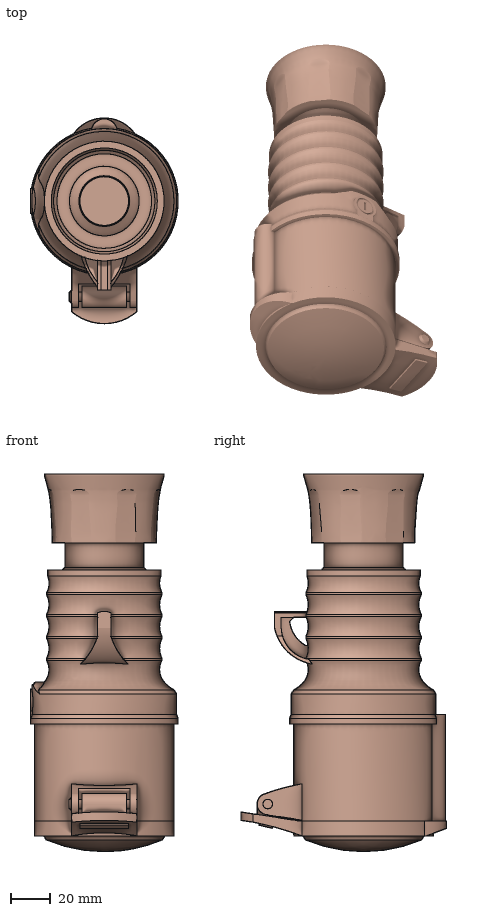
import cadquery as cq
import math

TOTAL_HEIGHT = 190.85
LID_SEAM_Z = 15.4
LID_BOTTOM_Z = 7.9
DOME_RIM_Z = 6.0
FLANGE_BOTTOM_Z = 64.5
FLANGE_EDGE_Z = 67.4
FLANGE_TOP_Z = 69.4
SHOULDER_Z = 79.8
SHOULDER_TOP_Z = 81.8
SLOPE_Z = 83.9
BELLOWS_BOTTOM_Z = 86.5
BELLOWS_TOP_Z = 142.4
NUT_BOTTOM_Z = 156.1

BARREL_R = 35.3
FLANGE_R = 37.375
COLLAR_R = 36.6
SHOULDER_R = 35.2
SLOPE_R = 32.1
BELLOWS_FOOT_R = 29.7
RIDGE_R = 29.2
BELLOWS_RIM_R = 28.7
BELLOWS_WAIST_R = 28.0
NECK_R = 20.0
DOME_RIM_R = 29.4
DOME_STEP_R = 30.6

RIDGE_COUNT = 4
FIRST_RIDGE_Z = 97.2
RIDGE_PITCH = 11.05
RIDGE_FLAT = 1.0
RIM_BAND = 3.0
NECK_FILLET = 1.3

NUT_BOTTOM_R = 26.3
NUT_TOP_R = 30.25
NUT_EDGE = 1.0
NUT_FLARE = [
    (NUT_BOTTOM_R, NUT_BOTTOM_Z),
    (26.7, 168.2),
    (27.8, 180.0),
    (NUT_TOP_R, TOTAL_HEIGHT - NUT_EDGE),
]
NUT_RECESS_DEPTH = 6.0
NUT_MOUTH_R = 26.8
NUT_WALL_FOOT_R = 25.6
NUT_WALL_DEPTH = 4.4
NUT_FLOOR_R = 23.9
CONE_BASE_R = 17.6
CONE_TOP_R = 13.3
PLUG_R = 12.3
PLUG_EDGE = 1.0
CONE_HEIGHT = 4.5

FLUTE_COUNT = 7
FLUTE_START_ANGLE = 191.8
FLUTE_CUT_WIDTH = 16.0
FLUTE_DEPTH = 0.52
FLUTE_TOP = (28.75, 183.6)

LOOP_REACH = 45.0
LOOP_TOP_Z = 121.3
LOOP_BAR = 2.9
LOOP_BEND_Z = 113.0
LOOP_ARC_MID = (-40.9, 103.9)
LOOP_FOOT_Z = 94.8
LOOP_ROOT_Y = -26.0
LOOP_FRONT_BAR = 3.4
LOOP_BAND_ARC_MID = (-39.2, 105.0)
LOOP_BAND_FOOT = 2.2
LOOP_WIDTH = 6.6
LOOP_WEB_WIDTH = 4.0
LOOP_FOOT_WIDTH = 24.0
LOOP_FLARE_Z = 109.0
LOOP_FLARE_MID = (6.4, 102.0)
LOOP_CHAMFER = (1.6, 0.6)
WINDOW_REACH = 37.3
WINDOW_CORNER = 2.0
WINDOW_ARC_MID = (-34.3, 108.7)
WINDOW_FOOT = (-29.3, 104.2)

LOCK_Z = 75.7
LOCK_R = 6.4
LOCK_REACH = 37.3
LOCK_FACE_R = 5.2
LOCK_GROOVE_WIDTH = 0.9
LOCK_GROOVE_DEPTH = 1.0
LOCK_SLOT = (1.4, 5.6)
HUMP_TOP_Z = 85.8
HUMP_HALF_WIDTH = 16.5
HUMP_BEND_HALF_WIDTH = 9.25
HUMP_CHAMFER = 1.8
LOCK_FOOT_WIDTH = 9.0

RIB_REACH = 41.5
RIB_R = 6.6
TAB_REACH = 42.0
TAB_R = 18.9
TAB_EDGE_Z = 11.8
TAB_ROOT_Y = 31.5

HINGE_WIDTH = 33.0
HINGE_Y = -48.4
HINGE_Z = 24.1
EAR_R = 5.4
EAR_TOP_Z = 34.3
EAR_ROOT_Y = -31.0
EAR_CREST_MID = (-41.5, 32.0)
EAR_CREST_END_ANGLE = 25.0
POCKET_WIDTH = 26.0
POCKET_BACK_Y = -42.0
KNUCKLE_WIDTH = 22.6
KNUCKLE_R = 5.4
FLAP_GAP = 0.5
PIN_R = 2.4
PIN_HEAD_R = 3.2
PIN_HEAD = 1.2
PIN_HEAD_CHAMFER = 1.0

FLAP_REACH = 62.0
FLAP_STRAIGHT_REACH = 55.9
FLAP_TIP_TOP_Z = 20.1
FLAP_TIP_BOTTOM_Z = 15.8
FLAP_BEND_BOTTOM_Z = 14.9
GRIP_WIDTH = 24.6
GRIP_LENGTH = 7.0
GRIP_HEIGHT = 0.6
GRIP_CENTRE = (-49.4, 13.2)
FLAP_UNDERSIDE_MID = (-43.0, 11.9)


def nut_profile(outline):
    """Continue the housing outline up the neck, around the gland nut and into its recess."""
    floor_z = TOTAL_HEIGHT - NUT_RECESS_DEPTH
    return (
        outline
        .lineTo(NECK_R, NUT_BOTTOM_Z)
        .lineTo(*NUT_FLARE[0])
        .spline(NUT_FLARE[1:], includeCurrent=True)
        .lineTo(NUT_TOP_R, TOTAL_HEIGHT)
        .lineTo(NUT_MOUTH_R, TOTAL_HEIGHT)
        .lineTo(NUT_WALL_FOOT_R, TOTAL_HEIGHT - NUT_WALL_DEPTH)
        .lineTo(NUT_FLOOR_R, floor_z)
        .lineTo(CONE_BASE_R, floor_z)
        .lineTo(CONE_TOP_R, floor_z + CONE_HEIGHT)
        .lineTo(PLUG_R + PLUG_EDGE / 2, TOTAL_HEIGHT - PLUG_EDGE / 2)
        .lineTo(PLUG_R, TOTAL_HEIGHT)
        .lineTo(0, TOTAL_HEIGHT)
    )


def turned_housing():
    """Barrel, collar, bellows, neck and nut as one turned shape."""
    outline = (
        cq.Workplane("XZ")
        .moveTo(0, LID_SEAM_Z)
        .lineTo(BARREL_R, LID_SEAM_Z)
        .lineTo(BARREL_R, FLANGE_BOTTOM_Z)
        .lineTo(FLANGE_R, FLANGE_BOTTOM_Z)
        .lineTo(FLANGE_R, FLANGE_EDGE_Z)
        .lineTo(COLLAR_R, FLANGE_TOP_Z)
        .lineTo(COLLAR_R, SHOULDER_Z)
        .lineTo(SHOULDER_R, SHOULDER_TOP_Z)
        .threePointArc((SLOPE_R, SLOPE_Z), (BELLOWS_FOOT_R, BELLOWS_BOTTOM_Z))
    )
    below_z = BELLOWS_BOTTOM_Z
    for index in range(RIDGE_COUNT):
        ridge_z = FIRST_RIDGE_Z + index * RIDGE_PITCH
        ridge_start = ridge_z - RIDGE_FLAT / 2
        waist = (BELLOWS_WAIST_R, (below_z + ridge_start) / 2)
        outline = outline.threePointArc(waist, (RIDGE_R, ridge_start))
        below_z = ridge_z + RIDGE_FLAT / 2
        outline = outline.lineTo(RIDGE_R, below_z)
    band_z = BELLOWS_TOP_Z - RIM_BAND
    outline = (
        outline
        .threePointArc((BELLOWS_WAIST_R, (below_z + band_z) / 2), (BELLOWS_RIM_R, band_z))
        .lineTo(BELLOWS_RIM_R, BELLOWS_TOP_Z)
        .lineTo(NECK_R + NECK_FILLET, BELLOWS_TOP_Z)
        .lineTo(NECK_R, BELLOWS_TOP_Z + NECK_FILLET)
    )
    return nut_profile(outline).close().revolve(360, (0, 0), (0, 1))


def nut_flutes():
    """Shallow flat grip flutes spaced around the nut, each with an arched upper end."""
    flutes = cq.Workplane("XY")
    floor = [(radius - FLUTE_DEPTH, z) for radius, z in NUT_FLARE[:-1]]
    for index in range(FLUTE_COUNT):
        flute = (
            cq.Workplane("XZ", origin=(0, FLUTE_CUT_WIDTH / 2, 0))
            .moveTo(*floor[0])
            .spline(floor[1:], includeCurrent=True)
            .tangentArcPoint(FLUTE_TOP, relative=False)
            .lineTo(NUT_TOP_R, FLUTE_TOP[1])
            .lineTo(NUT_TOP_R, NUT_BOTTOM_Z)
            .close()
            .extrude(FLUTE_CUT_WIDTH)
        )
        angle = FLUTE_START_ANGLE + index * 360 / FLUTE_COUNT
        flutes = flutes.add(flute.rotate((0, 0, 0), (0, 0, 1), angle))
    return flutes.combine()


def loop_slab(foot_z, arc_mid, bar, front_bar, width):
    """D-shaped slab inset by the bar thicknesses from the loop's outer outline."""
    front_y = front_bar - LOOP_REACH
    return (
        cq.Workplane("YZ", origin=(-width / 2, 0, 0))
        .moveTo(LOOP_ROOT_Y, LOOP_TOP_Z - bar)
        .lineTo(front_y, LOOP_TOP_Z - bar)
        .lineTo(front_y, LOOP_BEND_Z)
        .threePointArc(arc_mid, (LOOP_ROOT_Y, foot_z))
        .close()
        .extrude(width)
    )


def loop_front():
    """Front shape of the loop's band: straight bar that widens in concave curves to the foot."""
    half = LOOP_WIDTH / 2
    foot = LOOP_FOOT_WIDTH / 2
    flare_x, flare_z = LOOP_FLARE_MID
    return (
        cq.Workplane("XZ")
        .moveTo(-half, LOOP_TOP_Z)
        .lineTo(half, LOOP_TOP_Z)
        .lineTo(half, LOOP_FLARE_Z)
        .threePointArc((flare_x, flare_z), (foot, LOOP_FOOT_Z))
        .lineTo(-foot, LOOP_FOOT_Z)
        .threePointArc((-flare_x, flare_z), (-half, LOOP_FLARE_Z))
        .close()
        .extrude(LOOP_REACH)
    )


def hanging_loop():
    """D-shaped loop: an outer band with a flared foot, stiffened by a narrower web inside."""
    web_z = LOOP_FOOT_Z + LOOP_BAND_FOOT
    full = loop_slab(LOOP_FOOT_Z, LOOP_ARC_MID, 0, 0, LOOP_FOOT_WIDTH)
    inside = loop_slab(web_z, LOOP_BAND_ARC_MID, LOOP_BAR, LOOP_FRONT_BAR, LOOP_FOOT_WIDTH)
    band = full.cut(inside).intersect(loop_front())
    band = band.edges(">Z and |Y").chamfer(*LOOP_CHAMFER)
    window_top = LOOP_TOP_Z - LOOP_BAR
    window = (
        cq.Workplane("YZ", origin=(-LOOP_WIDTH / 2, 0, 0))
        .moveTo(LOOP_ROOT_Y, window_top)
        .lineTo(WINDOW_CORNER - WINDOW_REACH, window_top)
        .lineTo(-WINDOW_REACH, window_top - WINDOW_CORNER)
        .threePointArc(WINDOW_ARC_MID, WINDOW_FOOT)
        .lineTo(LOOP_ROOT_Y, WINDOW_FOOT[1])
        .close()
        .extrude(LOOP_WIDTH)
    )
    web = loop_slab(web_z, LOOP_BAND_ARC_MID, LOOP_BAR, LOOP_FRONT_BAR, LOOP_WEB_WIDTH)
    return band.union(web.cut(window))


def lock_hump():
    """Bell-shaped rise of the collar wall, behind the lock, up over the shoulder."""
    bend_z = (SHOULDER_Z + HUMP_TOP_Z) / 2
    bell = (
        cq.Workplane("YZ")
        .moveTo(-HUMP_HALF_WIDTH, SHOULDER_Z)
        .lineTo(-HUMP_BEND_HALF_WIDTH, bend_z)
        .threePointArc((0, HUMP_TOP_Z), (HUMP_BEND_HALF_WIDTH, bend_z))
        .lineTo(HUMP_HALF_WIDTH, SHOULDER_Z)
        .close()
        .extrude(-FLANGE_R)
    )
    envelope = (
        cq.Workplane("XY")
        .circle(COLLAR_R)
        .extrude(HUMP_TOP_Z)
        .faces(">Z")
        .chamfer(HUMP_CHAMFER)
    )
    return bell.intersect(envelope)


def lock_boss():
    """Round lock seat with a straight foot that runs down onto the flange."""
    seat = cq.Workplane("YZ").center(0, LOCK_Z).circle(LOCK_R).extrude(-LOCK_REACH)
    foot_height = LOCK_Z - FLANGE_EDGE_Z
    foot = (
        cq.Workplane("YZ")
        .center(0, LOCK_Z - foot_height / 2)
        .rect(LOCK_FOOT_WIDTH, foot_height)
        .extrude(-LOCK_REACH)
    )
    return seat.union(foot)


def lock_marks():
    """Ring groove around the lock face and the slot across its middle."""
    face = cq.Workplane("YZ", origin=(-LOCK_REACH, 0, LOCK_Z))
    groove = (
        face.circle(LOCK_FACE_R)
        .circle(LOCK_FACE_R - LOCK_GROOVE_WIDTH)
        .extrude(LOCK_GROOVE_DEPTH)
    )
    slot = face.rect(*LOCK_SLOT).extrude(LOCK_GROOVE_DEPTH)
    return groove.union(slot)


def rear_rib():
    """Half-round rib down the back of the barrel."""
    return (
        cq.Workplane("XY", origin=(0, RIB_REACH - RIB_R, LID_SEAM_Z))
        .circle(RIB_R)
        .extrude(FLANGE_TOP_Z - LID_SEAM_Z)
    )


def flap_side(gap_above=0):
    """Side shape of the flap across the hinge width, raised on top by a clearance gap."""
    return (
        cq.Workplane("YZ", origin=(-HINGE_WIDTH / 2, 0, 0))
        .moveTo(0, LID_SEAM_Z + gap_above)
        .lineTo(EAR_ROOT_Y, LID_SEAM_Z + gap_above)
        .lineTo(-FLAP_REACH, FLAP_TIP_TOP_Z + gap_above)
        .lineTo(-FLAP_REACH, FLAP_TIP_BOTTOM_Z)
        .lineTo(-FLAP_STRAIGHT_REACH, FLAP_BEND_BOTTOM_Z)
        .threePointArc(FLAP_UNDERSIDE_MID, (EAR_ROOT_Y, LID_BOTTOM_Z))
        .lineTo(0, LID_BOTTOM_Z)
        .close()
        .extrude(HINGE_WIDTH)
    )


def hinge_ears():
    """Block on the front of the barrel, opened by a pocket so that two round ears remain."""
    end_angle = math.radians(EAR_CREST_END_ANGLE)
    crest_end = (
        HINGE_Y - EAR_R * math.sin(end_angle),
        HINGE_Z + EAR_R * math.cos(end_angle),
    )
    block = (
        cq.Workplane("YZ", origin=(-HINGE_WIDTH / 2, 0, 0))
        .moveTo(0, LID_SEAM_Z)
        .lineTo(0, EAR_TOP_Z)
        .lineTo(EAR_ROOT_Y, EAR_TOP_Z)
        .threePointArc(EAR_CREST_MID, crest_end)
        .threePointArc((HINGE_Y - EAR_R, HINGE_Z), (HINGE_Y, HINGE_Z - EAR_R))
        .lineTo(HINGE_Y, LID_SEAM_Z)
        .close()
        .extrude(HINGE_WIDTH)
    )
    pocket = (
        cq.Workplane("XY", origin=(0, POCKET_BACK_Y - FLAP_REACH / 2, LID_SEAM_Z))
        .rect(POCKET_WIDTH, FLAP_REACH)
        .extrude(EAR_TOP_Z)
    )
    return block.cut(pocket)


def hinge_pin():
    """Pin through both ears, with a chamfered head outside the -X ear."""
    shank = (
        cq.Workplane("YZ", origin=(-HINGE_WIDTH / 2, HINGE_Y, HINGE_Z))
        .circle(PIN_R)
        .extrude(HINGE_WIDTH)
    )
    head = (
        cq.Workplane("YZ", origin=(-HINGE_WIDTH / 2, HINGE_Y, HINGE_Z))
        .circle(PIN_HEAD_R)
        .extrude(-PIN_HEAD)
        .faces("<X")
        .chamfer(PIN_HEAD_CHAMFER)
    )
    return shank.union(head)


def build_housing():
    """Barrel, collar, bellows and nut with the loop, lock, rear rib and hinge ears."""
    ears = hinge_ears().cut(flap_side(FLAP_GAP)).cut(hinge_pin())
    return (
        turned_housing()
        .cut(nut_flutes())
        .union(hanging_loop())
        .union(lock_hump())
        .union(lock_boss())
        .cut(lock_marks())
        .union(rear_rib())
        .union(ears)
    )


def turned_lid():
    """Ring under the barrel with a stepped, domed bottom."""
    half_dome_r = DOME_RIM_R / 2
    dome_r = (DOME_RIM_R ** 2 + DOME_RIM_Z ** 2) / (2 * DOME_RIM_Z)
    dome_mid_z = dome_r - math.sqrt(dome_r ** 2 - half_dome_r ** 2)
    return (
        cq.Workplane("XZ")
        .moveTo(0, 0)
        .threePointArc((half_dome_r, dome_mid_z), (DOME_RIM_R, DOME_RIM_Z))
        .lineTo(DOME_STEP_R, LID_BOTTOM_Z)
        .lineTo(BARREL_R, LID_BOTTOM_Z)
        .lineTo(BARREL_R, LID_SEAM_Z)
        .lineTo(0, LID_SEAM_Z)
        .close()
        .revolve(360, (0, 0), (0, 1))
    )


def rear_tab():
    """Rounded tab at the back of the lid, its underside sloping up to its tip."""
    plan = (
        cq.Workplane("XY", origin=(0, TAB_REACH - TAB_R, 0))
        .circle(TAB_R)
        .extrude(LID_SEAM_Z)
    )
    side = (
        cq.Workplane("YZ")
        .moveTo(0, LID_SEAM_Z)
        .lineTo(TAB_REACH, LID_SEAM_Z)
        .lineTo(TAB_REACH, TAB_EDGE_Z)
        .lineTo(TAB_ROOT_Y, LID_BOTTOM_Z)
        .lineTo(0, LID_BOTTOM_Z)
        .close()
        .extrude(TAB_R, both=True)
    )
    return plan.intersect(side)


def flap():
    """Opening flap with a rounded tip."""
    half = HINGE_WIDTH / 2
    plan = (
        cq.Workplane("XY")
        .moveTo(-half, 0)
        .lineTo(-half, -FLAP_STRAIGHT_REACH)
        .threePointArc((0, -FLAP_REACH), (half, -FLAP_STRAIGHT_REACH))
        .lineTo(half, 0)
        .close()
        .extrude(EAR_TOP_Z)
    )
    return flap_side().intersect(plan)


def grip_ridge():
    """Narrow ridge across the underside of the flap, following its slope."""
    rise = FLAP_BEND_BOTTOM_Z - FLAP_UNDERSIDE_MID[1]
    run = FLAP_STRAIGHT_REACH + FLAP_UNDERSIDE_MID[0]
    return (
        cq.Workplane("XY")
        .box(GRIP_WIDTH, GRIP_LENGTH, 2 * GRIP_HEIGHT)
        .rotate((0, 0, 0), (1, 0, 0), -math.degrees(math.atan2(rise, run)))
        .translate((0, *GRIP_CENTRE))
    )


def knuckle():
    """Hinge knuckle between the ears, standing on the flap."""
    barrel = (
        cq.Workplane("YZ", origin=(-KNUCKLE_WIDTH / 2, HINGE_Y, HINGE_Z))
        .circle(KNUCKLE_R)
        .extrude(KNUCKLE_WIDTH)
    )
    web = (
        cq.Workplane("XY", origin=(0, HINGE_Y, LID_SEAM_Z))
        .rect(KNUCKLE_WIDTH, 2 * KNUCKLE_R)
        .extrude(HINGE_Z - LID_SEAM_Z)
    )
    return barrel.union(web)


def build_lid(housing):
    """Lid ring and dome with its tab, flap, hinge knuckle and pin, fitted around the housing."""
    return (
        turned_lid()
        .union(rear_tab())
        .union(flap())
        .union(grip_ridge())
        .union(knuckle())
        .union(hinge_pin())
        .cut(housing)
    )


housing = build_housing()
lid = build_lid(housing)
result = cq.Compound.makeCompound([housing.val(), lid.val()])